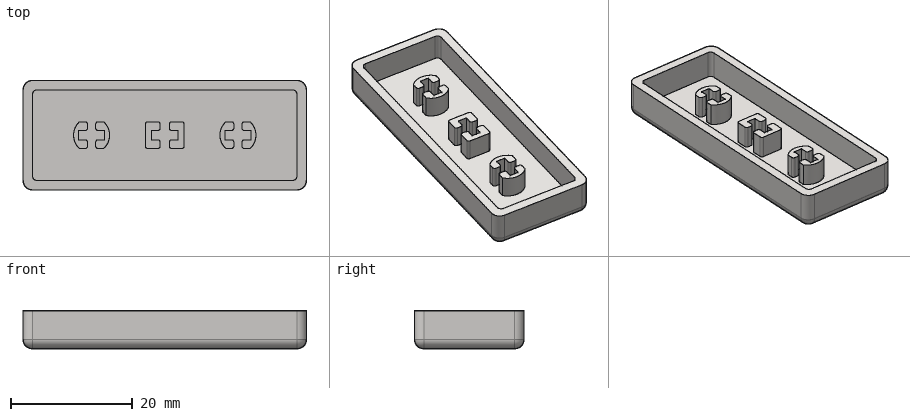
import cadquery as cq

length = 46.6
width = 18.05
height = 6.3
wall = 1.6
floor_thickness = 1.6
corner_radius = 1.6
base_radius = 1.55
cavity_corner_radius = 0.7

stem_height = 3.78
stem_depth = 4.4
stem_spacing = 12.05
stem_edge_radius = 0.35
socket_slot_height = 1.55

middle_stem_width = 6.35
middle_socket_width = 4.4
middle_gap = 1.55

outer_stem_diameter = 5.9
outer_socket_width = 4.25
outer_gap = 1.35


def block(size_x, size_y, size_z, bottom):
    """Box centred on the Z axis, resting at height `bottom`."""
    return cq.Workplane("XY", origin=(0, 0, bottom)).box(
        size_x, size_y, size_z, centered=(True, True, False)
    )


def make_tray():
    body = block(length, width, height, 0).edges("|Z").fillet(corner_radius)
    body = body.faces("<Z").edges().fillet(base_radius)
    cavity_depth = height - floor_thickness
    cavity = block(length - 2 * wall, width - 2 * wall, cavity_depth, floor_thickness)
    return body.cut(cavity.edges("|Z").fillet(cavity_corner_radius))


def round_edges_at(solid, half_x, half_y):
    """Round the vertical edges at the four points (+-half_x, +-half_y)."""
    reach = 0.005
    edges = solid.edges("|Z").filter(
        lambda edge: abs(abs(edge.Center().x) - half_x) < reach
        and abs(abs(edge.Center().y) - half_y) < reach
    )
    return edges.fillet(stem_edge_radius)


def cut_socket(post, socket_width, gap):
    """Split the post by a gap along Y, cross it with a slot along X and round the gap's edges."""
    post = post.cut(block(gap, stem_depth, stem_height, floor_thickness))
    post = post.cut(block(socket_width, socket_slot_height, stem_height, floor_thickness))
    post = round_edges_at(post, gap / 2, stem_depth / 2)
    return round_edges_at(post, gap / 2, socket_slot_height / 2)


def make_middle_stem():
    post = block(middle_stem_width, stem_depth, stem_height, floor_thickness)
    post = post.edges("|Z").fillet(stem_edge_radius)
    return cut_socket(post, middle_socket_width, middle_gap)


def make_outer_stem():
    cylinder = (
        cq.Workplane("XY", origin=(0, 0, floor_thickness))
        .circle(outer_stem_diameter / 2)
        .extrude(stem_height)
    )
    flats = block(outer_stem_diameter, stem_depth, stem_height, floor_thickness)
    return cut_socket(cylinder.intersect(flats), outer_socket_width, outer_gap)


result = make_tray().union(make_middle_stem())
for side in (-1, 1):
    result = result.union(make_outer_stem().translate((side * stem_spacing, 0, 0)))